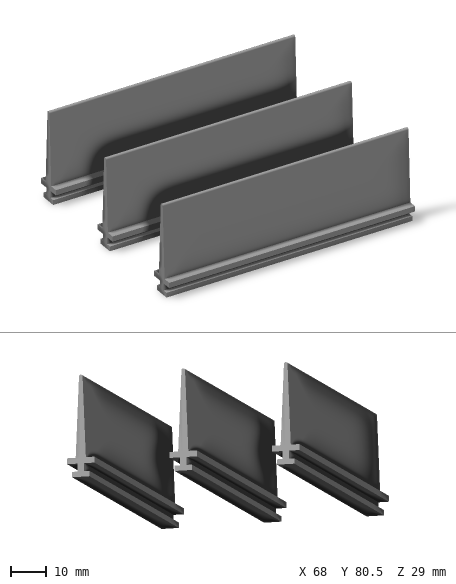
import cadquery as cq

rail_length = 80.5
rail_height = 29.0
rail_count = 3
rail_pitch = 30.0

foot_width = 5.1
foot_thickness = 1.5

neck_width = 2.0
neck_height = 2.25

flange_width = 8.0
flange_thickness = 1.7

blade_root_width = 3.0
blade_tip_width = 1.05
tip_rise = 0.5

foot_top = foot_thickness
flange_bottom = foot_top + neck_height
flange_top = flange_bottom + flange_thickness
tip_start = rail_height - tip_rise


def make_rail(center_x):
    """One finned rail: a symmetric profile extruded along Y."""
    right_side = [
        (foot_width / 2, 0),
        (foot_width / 2, foot_top),
        (neck_width / 2, foot_top),
        (neck_width / 2, flange_bottom),
        (flange_width / 2, flange_bottom),
        (flange_width / 2, flange_top),
        (blade_root_width / 2, flange_top),
        (blade_tip_width / 2, tip_start),
    ]
    left_side = [(-x, z) for x, z in reversed(right_side)]
    return (
        cq.Workplane("XZ", origin=(center_x, 0, 0))
        .polyline(right_side)
        .threePointArc((0, rail_height), left_side[0])
        .polyline(left_side, includeCurrent=False)
        .close()
        .extrude(rail_length / 2, both=True)
    )


first_rail_x = -rail_pitch * (rail_count - 1) / 2
rails = [make_rail(first_rail_x + i * rail_pitch) for i in range(rail_count)]

result = cq.Compound.makeCompound([rail.val() for rail in rails])